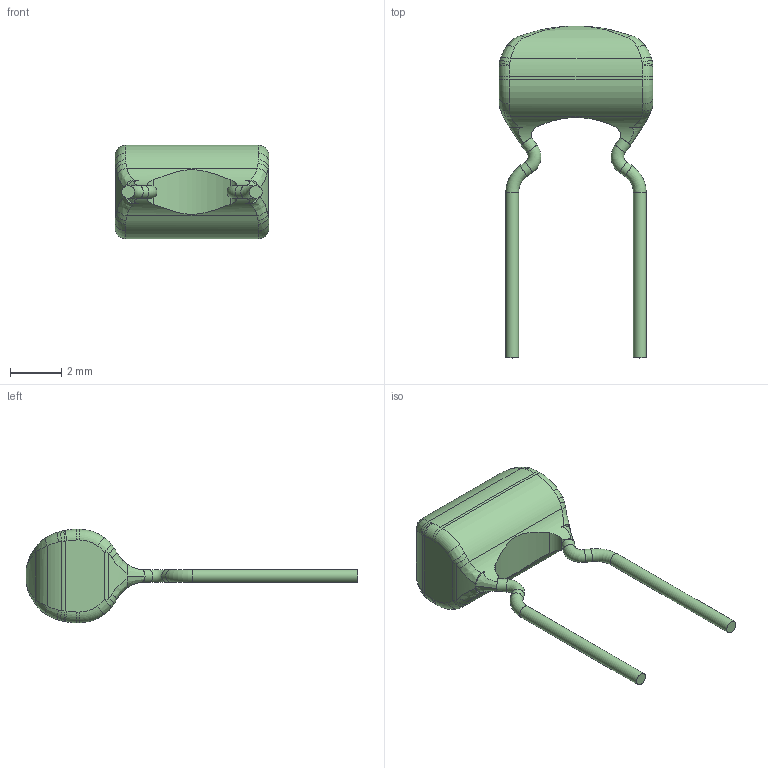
import cadquery as cq
import math


def heading(degrees):
    """Unit vector in the XY plane at an angle from +X."""
    angle = math.radians(degrees)
    return cq.Vector(math.cos(angle), math.sin(angle), 0)


lead_pitch = 5.0
lead_radius = 0.25
lead_straight = 6.47
outer_bend_radius = 1.04
inner_bend_radius = 0.5
inward_angle = 35
outward_angle = 53
inward_run = 0.27
outward_run = 0.38

body_back = 13.0
body_half_width = 6.03 / 2
body_half_height = 3.66 / 2
edge_radius = 0.42

tolerance = 0.01

nose_clearance = 0.02
crown_back = 11.02
crown_front = 10.91
shoulder_radius = 2.53
front_radius = 1.64
front_sweep = 63
hollow_radius = 1.3

back_radius = 6.5
back_half_chord = 2.19
corner_end_x = 2.75
corner_end_y = 12.17
side_top = 11.53
side_bottom = 9.85
side_blend_radius = 0.5
flank_radius = 4.0
flank_top_angle = 70
flank_root_angle = 57
arch_top = 9.415
arch_radius = 3.39
arch_half_chord = 1.5
foot_radius = 0.47

lead_x = lead_pitch / 2
inward = heading(180 - inward_angle)
outward = heading(outward_angle)
first_centre = cq.Vector(lead_x - outer_bend_radius, lead_straight, 0)
first_start = first_centre + heading(0) * outer_bend_radius
first_end = first_centre + heading(90 - inward_angle) * outer_bend_radius
first_middle = first_centre + heading((90 - inward_angle) / 2) * outer_bend_radius
second_start = first_end + inward * inward_run
second_centre = second_start + heading(90 - inward_angle) * inner_bend_radius
second_end = second_centre + heading(90 + outward_angle) * inner_bend_radius
second_middle_angle = (270 - inward_angle + 90 + outward_angle) / 2
second_middle = second_centre + heading(second_middle_angle) * inner_bend_radius
lead_tip = second_end + outward * outward_run


def make_lead(side):
    """Bent wire on the +X side (side = 1) or the -X side (side = -1)."""
    path = (
        cq.Workplane("XY")
        .moveTo(lead_x, 0)
        .lineTo(first_start.x, first_start.y)
        .threePointArc(first_middle.toTuple()[:2], first_end.toTuple()[:2])
        .lineTo(second_start.x, second_start.y)
        .threePointArc(second_middle.toTuple()[:2], second_end.toTuple()[:2])
        .lineTo(lead_tip.x, lead_tip.y)
    )
    lead = cq.Workplane("XZ").center(lead_x, 0).circle(lead_radius).sweep(path)
    return lead if side > 0 else lead.mirror("YZ")


sweep = math.radians(front_sweep)
front_z = body_half_height - front_radius
hollow_y = crown_front - (front_radius + hollow_radius) * math.sin(sweep)
hollow_z = front_z + (front_radius + hollow_radius) * math.cos(sweep)

flank_start = cq.Vector(body_half_width, side_bottom, 0)
flank_centre = flank_start + heading(flank_top_angle + 90) * flank_radius
flank_end = flank_centre + heading(flank_root_angle - 90) * flank_radius
flank_middle = flank_centre + heading((flank_top_angle + flank_root_angle) / 2 - 90) * flank_radius
root_half_height = hollow_z - math.sqrt(hollow_radius**2 - (flank_end.y - hollow_y) ** 2)
root_half_width = edge_radius / math.sin(math.radians(flank_root_angle))
root_centre = flank_end - cq.Vector(root_half_width, 0, 0)

arch_centre_y = arch_top - arch_radius
arch_angle = math.asin(arch_half_chord / arch_radius)
arch_end_y = arch_centre_y + arch_radius * math.cos(arch_angle)
foot_x = arch_half_chord + foot_radius * (1 - math.sin(arch_angle))
foot_y = arch_end_y - foot_radius * math.cos(arch_angle)


def profile_prism():
    """Side profile, extruded across the full width."""
    nose_back = body_back + nose_clearance
    drop = shoulder_radius - body_half_height
    reach = nose_back - crown_back
    nose_radius = (shoulder_radius**2 - reach**2 - drop**2) / (2 * (shoulder_radius - reach))
    nose_y = nose_back - nose_radius
    nose_angle = math.atan2(drop, nose_y - crown_back)
    shoulder_angle = (nose_angle + math.pi / 2) / 2

    def on_nose(angle):
        return nose_y + nose_radius * math.cos(angle), nose_radius * math.sin(angle)

    def on_shoulder(angle):
        return (
            crown_back + shoulder_radius * math.cos(angle),
            body_half_height - shoulder_radius + shoulder_radius * math.sin(angle),
        )

    def on_front(angle):
        return crown_front - front_radius * math.sin(angle), front_z + front_radius * math.cos(angle)

    def on_hollow(angle):
        return hollow_y + hollow_radius * math.sin(angle), hollow_z - hollow_radius * math.cos(angle)

    return (
        cq.Workplane("YZ")
        .moveTo(nose_back, 0)
        .threePointArc(on_nose(nose_angle / 2), on_nose(nose_angle))
        .threePointArc(on_shoulder(shoulder_angle), (crown_back, body_half_height))
        .lineTo(crown_front, body_half_height)
        .threePointArc(on_front(sweep / 2), on_front(sweep))
        .threePointArc(on_hollow(sweep / 2), on_hollow(0))
        .lineTo(hollow_y, 0)
        .mirrorX()
        .extrude(body_half_width, both=True)
    )


def block_prism():
    """Plan outline down to the leg roots, extruded through the full height."""
    sag = back_radius - math.sqrt(back_radius**2 - back_half_chord**2)
    half_sag = back_radius - math.sqrt(back_radius**2 - (back_half_chord / 2) ** 2)
    arch_middle = (
        arch_radius * math.sin(arch_angle / 2),
        arch_centre_y + arch_radius * math.cos(arch_angle / 2),
    )
    outline = (
        cq.Workplane("XY")
        .moveTo(0, body_back)
        .threePointArc((back_half_chord / 2, body_back - half_sag), (back_half_chord, body_back - sag))
        .tangentArcPoint((corner_end_x, corner_end_y), relative=False)
        .tangentArcPoint((body_half_width, side_top), relative=False)
        .lineTo(body_half_width, side_bottom)
        .threePointArc(flank_middle.toTuple()[:2], flank_end.toTuple()[:2])
        .lineTo(root_centre.x, root_centre.y)
        .lineTo(arch_half_chord, arch_end_y)
        .threePointArc(arch_middle, (0, arch_top))
        .mirrorY()
    )
    inner_zone = cq.selectors.BoxSelector(
        (-corner_end_x - tolerance, 0, -body_half_height),
        (corner_end_x + tolerance, body_back, body_half_height),
    )
    side_ends = cq.selectors.StringSyntaxSelector("|Z") - inner_zone
    return outline.extrude(body_half_height, both=True).edges(side_ends).fillet(side_blend_radius)


def leg_taper():
    """Round taper from the filleted flank to the lead, kept outboard of the foot."""
    root = cq.Wire.makeEllipse(
        root_half_width, root_half_height, root_centre, heading(-90), heading(0)
    )
    tip = cq.Wire.makeCircle(lead_radius, lead_tip, outward * -1)
    taper = cq.Workplane(cq.Solid.makeLoft([root, tip], True))
    outboard = cq.Workplane("XY").box(body_half_width, body_back, body_half_height, (False, False, True))
    return taper.intersect(outboard.translate((foot_x, 0, 0)))


def leg_web():
    """Plate from the leg axis to the rounded foot beside the arch."""
    tip_edge = lead_tip + heading(outward_angle + 90) * lead_radius
    foot_middle_angle = (math.pi / 2 - arch_angle) / 2
    foot_middle = (
        foot_x - foot_radius * (1 - math.cos(foot_middle_angle)),
        foot_y + foot_radius * math.sin(foot_middle_angle),
    )
    return (
        cq.Workplane("XY")
        .moveTo(lead_tip.x, lead_tip.y)
        .lineTo(root_centre.x, root_centre.y)
        .lineTo(arch_half_chord, arch_end_y)
        .threePointArc(foot_middle, (foot_x, foot_y))
        .lineTo(tip_edge.x, tip_edge.y)
        .close()
        .extrude(body_half_height, both=True)
    )


def make_body():
    profile = profile_prism()

    block = block_prism().intersect(profile)
    sharp_zone = cq.selectors.BoxSelector(
        (-flank_end.x, 0, -body_half_height),
        (flank_end.x, arch_top, body_half_height),
    )
    rim = cq.selectors.StringSyntaxSelector("not(|X or |Z)") - sharp_zone
    body = block.edges(rim).fillet(edge_radius)

    for mirrored in (False, True):
        for piece in (leg_taper().intersect(profile), leg_web().intersect(profile)):
            body = body.union(piece.mirror("YZ") if mirrored else piece)
    return body


body = make_body()
leads = [make_lead(side) for side in (1, -1)]
result = cq.Compound.makeCompound([body.val(), *[lead.val() for lead in leads]])